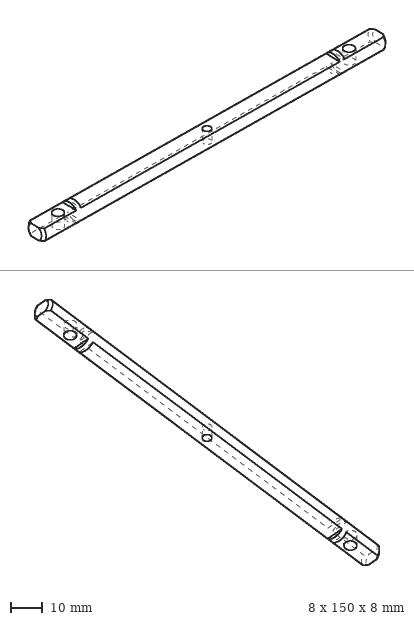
import cadquery as cq

length = 150
diameter = 8.0
flat_spacing = 5.0
end_chamfer = 1.0

collar_width = 2.1
rear_collar_y = 56.0
front_collar_y = -59.0

end_hole_diameter = 4.0
middle_hole_diameter = 3.0
rear_hole_y = 62.0
front_hole_y = -65.0


def round_bar(bar_length, center_y):
    """Full-diameter cylinder along Y, centred at center_y."""
    start = cq.Workplane("XZ", origin=(0, center_y + bar_length / 2, 0))
    return start.circle(diameter / 2).extrude(bar_length)


def vertical_hole(hole_diameter, center_y):
    """Cutter for a hole passing through both flats."""
    start = cq.Workplane("XY").center(0, center_y)
    return start.circle(hole_diameter / 2).extrude(diameter, both=True)


shaft = round_bar(length, 0).faces("<Y or >Y").chamfer(end_chamfer)
result = shaft.intersect(cq.Workplane("XY").box(diameter, length, flat_spacing))

for collar_y in (rear_collar_y, front_collar_y):
    result = result.union(round_bar(collar_width, collar_y))

for hole_y in (rear_hole_y, front_hole_y):
    result = result.cut(vertical_hole(end_hole_diameter, hole_y))
result = result.cut(vertical_hole(middle_hole_diameter, 0))